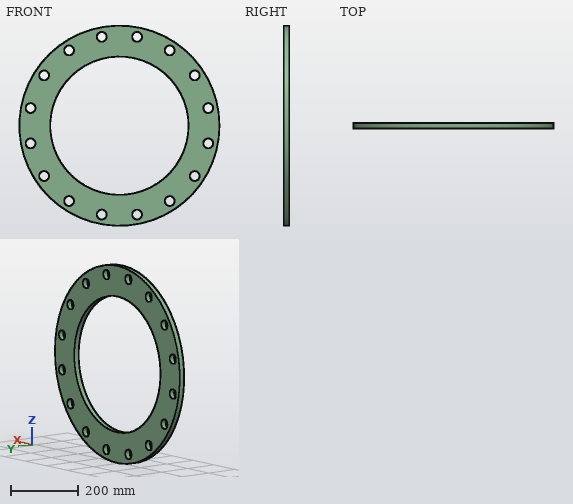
import cadquery as cq

outer_diameter = 597.0
bore_diameter = 411.0
thickness = 17.5

bolt_count = 16
bolt_hole_diameter = 28.5
bolt_circle_diameter = 539.5
bolt_pitch_angle = 360 / bolt_count


def make_ring():
    """Plain ring with its back face on the XZ plane."""
    return (
        cq.Workplane("XZ")
        .circle(outer_diameter / 2)
        .circle(bore_diameter / 2)
        .extrude(thickness)
    )


def make_bolt_holes():
    """Cylinders for the through holes, offset half a pitch from the X axis."""
    return (
        cq.Workplane("XZ")
        .polarArray(bolt_circle_diameter / 2, bolt_pitch_angle / 2, 360, bolt_count)
        .circle(bolt_hole_diameter / 2)
        .extrude(thickness)
    )


result = make_ring().cut(make_bolt_holes())